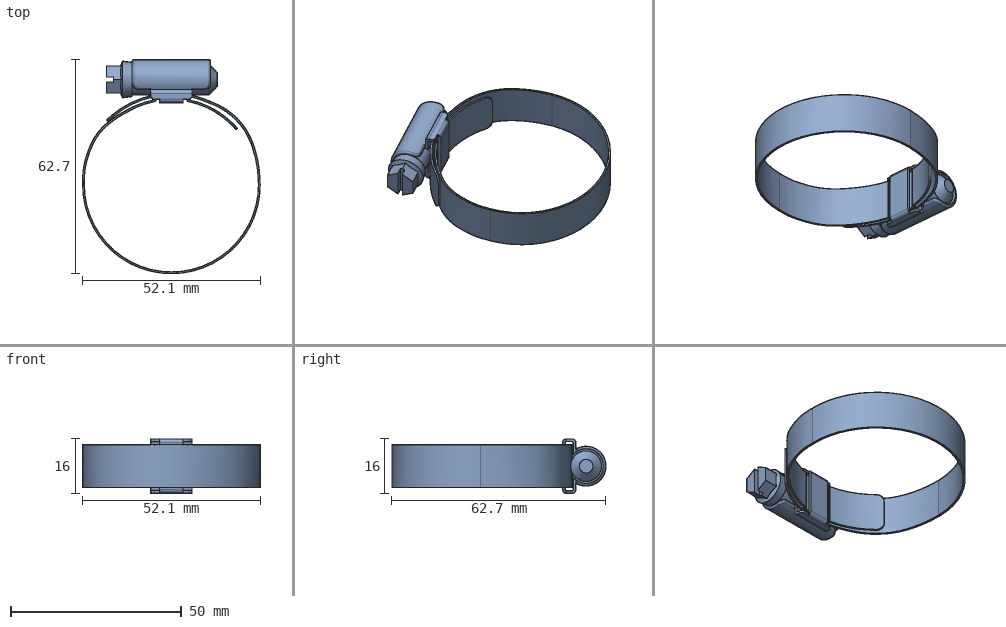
import cadquery as cq
import math


OVERALL_LENGTH = 62.73

BAND_WIDTH = 12.6
BAND_THICKNESS = 0.56
RING_OUTER_RADIUS = 26.03
RING_RADIUS = RING_OUTER_RADIUS - BAND_THICKNESS / 2
INNER_TAIL_RADIUS = 25.15
OUTER_TAIL_RADIUS = 26.54
INNER_TAIL_TIP_ANGLE = 40.5
OUTER_TAIL_TIP_ANGLE = 135
FOOT_ANGLE = 101
TAIL_CORNER_RADIUS = 2.4
LEFT_SWING = [
    (FOOT_ANGLE, INNER_TAIL_RADIUS),
    (126, 25.4),
    (138, 25.95),
    (150, 26.2),
    (165, 26.0),
    (180, RING_RADIUS),
]
RIGHT_SWING = [
    (0, RING_RADIUS),
    (18, 26.1),
    (36, 26.95),
    (48, 27.1),
    (60, 26.87),
    (70, 26.63),
    (82, OUTER_TAIL_RADIUS),
]
STEP_HALF_LENGTH = 5.1
STEP_BOTTOM = 25.0
STEP_TOP = STEP_BOTTOM + BAND_THICKNESS
STEP_FOOT = 24.6

SCREW_AXIS_Y = 30.85
SHEET = 0.8
SLEEVE_OUTER_RADIUS = OVERALL_LENGTH - RING_OUTER_RADIUS - SCREW_AXIS_Y
SLEEVE_BORE_RADIUS = SLEEVE_OUTER_RADIUS - SHEET
SLEEVE_HALF_LENGTH = 11.5
SLEEVE_EDGE_RADIUS = 0.55
SLEEVE_LOWER_EDGE = 27.95
SLEEVE_CORNER_RADIUS = 1.9
BRACKET_HALF_HEIGHT = 8.0
BRACKET_TOP = 27.86
BRACKET_BOTTOM = 23.98
BRACKET_HALF_LENGTH = 6.06
BRACKET_CORNER_RADIUS = 1.1
BRACKET_TAB_HALF_LENGTH = 3.44
BRACKET_TAB_START = 25.04
BEND_OUTER_RADIUS = 1.1
BEND_INNER_RADIUS = 0.4

HEX_ACROSS_FLATS = 8.0
HEX_END = -19.07
SLOT_WIDTH = 1.35
SLOT_DEPTH = 2.05
FLANGE_FRONT = -14.95
FLANGE_FRONT_RADIUS = 3.9
FLANGE_RADIUS = 5.4
FLANGE_BACK_RADIUS = 5.05
FLANGE_RIM = -14.35
SHANK_RADIUS = 4.5
SHANK_END = 11.0
TIP_RADIUS = 2.0
TIP_END = 13.47


def polar(angle, radius):
    return (radius * math.cos(math.radians(angle)), radius * math.sin(math.radians(angle)))


def arc_edge(radius, start, end):
    points = [cq.Vector(*polar(angle, radius)) for angle in (start, (start + end) / 2, end)]
    return cq.Edge.makeThreePointArc(*points)


def swing_edge(stations, offset):
    points = [cq.Vector(*polar(angle, radius + offset)) for angle, radius in stations]
    ends = [cq.Vector(*polar(stations[i][0] + 90, 1)) for i in (0, -1)]
    return cq.Edge.makeSpline(points, tangents=ends)


def strip_solid(side):
    """Strip whose two long sides are given by side(offset from its middle line)."""
    outer = side(BAND_THICKNESS / 2)
    inner = side(-BAND_THICKNESS / 2)
    start_cap = cq.Edge.makeLine(outer[0].startPoint(), inner[0].startPoint())
    end_cap = cq.Edge.makeLine(outer[-1].endPoint(), inner[-1].endPoint())
    outline = cq.Wire.assembleEdges([*outer, end_cap, *reversed(inner), start_cap])
    return (
        cq.Workplane("XY").add(outline).toPending().extrude(BAND_WIDTH)
        .translate((0, 0, -BAND_WIDTH / 2))
    )


def round_tail(strip, angle, radius):
    """Round the two corners at a free end of the strip."""
    tip = (*polar(angle, radius), 0)
    return (
        strip.faces(cq.NearestToPointSelector(tip)).edges("not |Z")
        .fillet(TAIL_CORNER_RADIUS)
    )


def make_band(screw):
    def tail_side(offset):
        return [arc_edge(INNER_TAIL_RADIUS + offset, INNER_TAIL_TIP_ANGLE, 180 - FOOT_ANGLE)]

    def spiral_side(offset):
        return [
            swing_edge(LEFT_SWING, offset),
            arc_edge(RING_RADIUS + offset, 180, 360),
            swing_edge(RIGHT_SWING, offset),
            arc_edge(OUTER_TAIL_RADIUS + offset, RIGHT_SWING[-1][0], OUTER_TAIL_TIP_ANGLE),
        ]

    tail = round_tail(strip_solid(tail_side), INNER_TAIL_TIP_ANGLE, INNER_TAIL_RADIUS)
    spiral = round_tail(strip_solid(spiral_side), OUTER_TAIL_TIP_ANGLE, OUTER_TAIL_RADIUS)
    foot_start = STEP_HALF_LENGTH - BAND_THICKNESS
    step = (
        cq.Workplane("XY", origin=(0, 0, -BAND_WIDTH / 2))
        .moveTo(-STEP_HALF_LENGTH, STEP_FOOT)
        .lineTo(-STEP_HALF_LENGTH, STEP_TOP)
        .lineTo(STEP_HALF_LENGTH, STEP_TOP)
        .lineTo(STEP_HALF_LENGTH, STEP_FOOT)
        .lineTo(foot_start, STEP_FOOT)
        .lineTo(foot_start, STEP_BOTTOM)
        .lineTo(-foot_start, STEP_BOTTOM)
        .lineTo(-foot_start, STEP_FOOT)
        .close().extrude(BAND_WIDTH)
    )
    return spiral.union(step).union(tail).cut(screw)


def along_screw(profile):
    """Revolve an (x, radius) profile about the screw axis."""
    return profile.close().revolve(360, (0, 0), (1, 0))


def make_sleeve():
    def tube(radius):
        return (
            cq.Workplane("YZ", origin=(-SLEEVE_HALF_LENGTH, SCREW_AXIS_Y, 0))
            .circle(radius).extrude(2 * SLEEVE_HALF_LENGTH)
        )

    full_height = 2 * BRACKET_HALF_HEIGHT
    hood_height = 2 * SLEEVE_OUTER_RADIUS
    hood = (
        cq.Workplane("XY")
        .box(2 * SLEEVE_HALF_LENGTH, hood_height, full_height)
        .edges("|Z and <Y").fillet(SLEEVE_CORNER_RADIUS)
        .translate((0, SLEEVE_LOWER_EDGE + hood_height / 2, 0))
    )
    root_bottom = BRACKET_TOP - SHEET
    root_height = SCREW_AXIS_Y - root_bottom
    root = (
        cq.Workplane("XY")
        .box(2 * BRACKET_HALF_LENGTH, root_height, full_height)
        .translate((0, root_bottom + root_height / 2, 0))
    )
    bore = tube(SLEEVE_BORE_RADIUS)
    cover = tube(SLEEVE_OUTER_RADIUS).intersect(hood)
    cover = cover.faces("<X or >X").edges("%CIRCLE").fillet(SLEEVE_EDGE_RADIUS)
    return cover.union(tube(SLEEVE_OUTER_RADIUS).intersect(root)).cut(bore)


def make_bracket():
    height = BRACKET_TOP - BRACKET_BOTTOM
    middle = (BRACKET_TOP + BRACKET_BOTTOM) / 2
    length = 2 * BRACKET_HALF_LENGTH
    outside = (
        cq.Workplane("XY")
        .box(length, height, 2 * BRACKET_HALF_HEIGHT)
        .edges("|X").fillet(BEND_OUTER_RADIUS)
    )
    inside = (
        cq.Workplane("XY")
        .box(length, height - 2 * SHEET, 2 * (BRACKET_HALF_HEIGHT - SHEET))
        .edges("|X and >Y").fillet(BEND_INNER_RADIUS)
    )
    loop = outside.cut(inside).translate((0, middle, 0))
    side_height = BRACKET_TOP - BRACKET_TAB_START
    side = (
        cq.Workplane("XY")
        .box(length, side_height, 2 * BRACKET_HALF_HEIGHT)
        .edges("|Z and <Y").fillet(BRACKET_CORNER_RADIUS)
        .translate((0, BRACKET_TAB_START + side_height / 2, 0))
    )
    tab = (
        cq.Workplane("XY")
        .box(2 * BRACKET_TAB_HALF_LENGTH, height, 2 * BRACKET_HALF_HEIGHT)
        .translate((0, middle, 0))
    )
    bore = (
        cq.Workplane("YZ", origin=(0, SCREW_AXIS_Y, 0))
        .circle(SLEEVE_BORE_RADIUS).extrude(BRACKET_HALF_LENGTH, both=True)
    )
    return loop.intersect(side.union(tab)).cut(bore)


def make_housing():
    return make_bracket().union(make_sleeve())


def make_screw():
    body = along_screw(
        cq.Workplane("XY", origin=(0, SCREW_AXIS_Y, 0))
        .moveTo(FLANGE_FRONT, 0)
        .lineTo(FLANGE_FRONT, FLANGE_FRONT_RADIUS)
        .lineTo(FLANGE_RIM, FLANGE_RADIUS)
        .lineTo(-SLEEVE_HALF_LENGTH, FLANGE_BACK_RADIUS)
        .lineTo(-SLEEVE_HALF_LENGTH, SHANK_RADIUS)
        .lineTo(SHANK_END, SHANK_RADIUS)
        .lineTo(TIP_END, TIP_RADIUS)
        .lineTo(TIP_END, 0)
    )
    hex_corner_diameter = HEX_ACROSS_FLATS / math.cos(math.pi / 6)
    head = (
        cq.Workplane("YZ", origin=(HEX_END, SCREW_AXIS_Y, 0))
        .transformed(rotate=(0, 0, 90))
        .polygon(6, hex_corner_diameter)
        .extrude(FLANGE_RIM - HEX_END)
    )
    slot = (
        cq.Workplane("XY")
        .box(2 * SLOT_DEPTH, SLOT_WIDTH, 2 * hex_corner_diameter)
        .translate((HEX_END, SCREW_AXIS_Y, 0))
    )
    return body.union(head).cut(slot)


screw = make_screw()
housing = make_housing()
band = make_band(screw)

result = cq.Compound.makeCompound([band.val(), housing.val(), screw.val()])